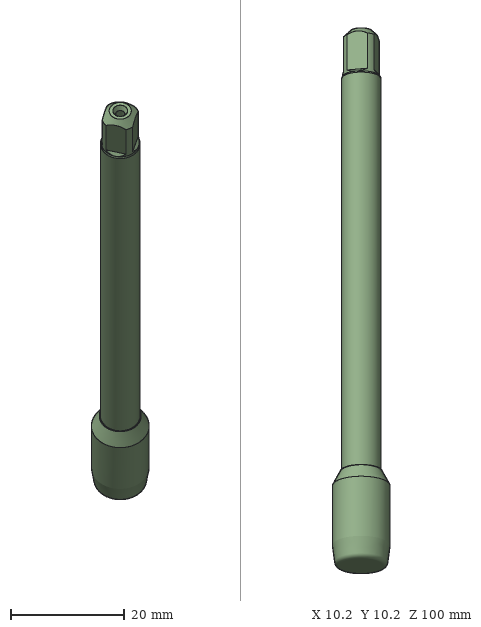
import cadquery as cq
import math

total_height = 100.0

socket_diameter = 10.2
socket_height = 17.7
shoulder_diameter = 7.4
shoulder_base = 15.0
taper_top = 3.8
taper_diameter = 9.2
bottom_round = 0.8

shaft_diameter = 7.0
seat_depth = socket_height - shoulder_base
shaft_chamfer_height = 0.3

square_width = 5.6
square_corner_diameter = 6.7
square_length = 8.0
tip_diameter = 3.9
tip_chamfer = (square_corner_diameter - tip_diameter) / 2

centre_hole_diameter = 1.6
countersink_diameter = 2.6
countersink_angle = 60.0
centre_hole_depth = 2.5
drill_point_angle = 120.0

seat_level = socket_height - seat_depth
flat_end = total_height - square_length
runout = (square_corner_diameter - square_width) / 2
shaft_top = flat_end - runout
shaft_chamfer_width = (shaft_diameter - square_corner_diameter) / 2


def cone_height(diameter_change, included_angle):
    """Axial length over which a cone changes its diameter by the given amount."""
    return diameter_change / 2 / math.tan(math.radians(included_angle / 2))


def revolve_profile(points):
    """Solid of revolution about Z from (radius, height) points."""
    return cq.Workplane("XZ").polyline(points).close().revolve(360, (0, 0, 0), (0, 1, 0))


def make_socket():
    taper_radius = taper_diameter / 2
    socket_radius = socket_diameter / 2
    body = revolve_profile([
        (0, 0),
        (taper_radius, 0),
        (socket_radius, taper_top),
        (socket_radius, shoulder_base),
        (shoulder_diameter / 2, socket_height),
        (0, socket_height),
    ]).faces("<Z").edges().fillet(bottom_round)
    bore = cq.Workplane("XY", origin=(0, 0, seat_level)).circle(shaft_diameter / 2).extrude(seat_depth)
    return body.cut(bore)


def make_drive_square():
    """Square with turned corners, a conical tip and flats that slope out at the foot."""
    corner_radius = square_corner_diameter / 2
    turned_blank = revolve_profile([
        (0, shaft_top),
        (corner_radius, shaft_top),
        (corner_radius, total_height - tip_chamfer),
        (tip_diameter / 2, total_height),
        (0, total_height),
    ])
    square_bar = (
        cq.Workplane("XY", origin=(0, 0, flat_end))
        .rect(square_width, square_width)
        .extrude(square_length)
    )
    foot = (
        cq.Workplane("XY", origin=(0, 0, shaft_top))
        .rect(square_corner_diameter, square_corner_diameter)
        .workplane(offset=runout)
        .rect(square_width, square_width)
        .loft(ruled=True)
    )
    return turned_blank.intersect(square_bar.union(foot))


def make_centre_hole():
    """Countersunk drilled hole with a conical bottom."""
    hole_radius = centre_hole_diameter / 2
    countersink_depth = cone_height(countersink_diameter - centre_hole_diameter, countersink_angle)
    hole_bottom = total_height - centre_hole_depth
    return revolve_profile([
        (0, hole_bottom - cone_height(centre_hole_diameter, drill_point_angle)),
        (hole_radius, hole_bottom),
        (hole_radius, total_height - countersink_depth),
        (countersink_diameter / 2, total_height),
        (0, total_height),
    ])


def make_shaft():
    rod = (
        cq.Workplane("XY", origin=(0, 0, seat_level))
        .circle(shaft_diameter / 2)
        .extrude(shaft_top - seat_level)
        .faces(">Z").chamfer(shaft_chamfer_height, shaft_chamfer_width)
    )
    return rod.union(make_drive_square()).cut(make_centre_hole())


socket = make_socket()
shaft = make_shaft()

result = cq.Compound.makeCompound([socket.val(), shaft.val()])